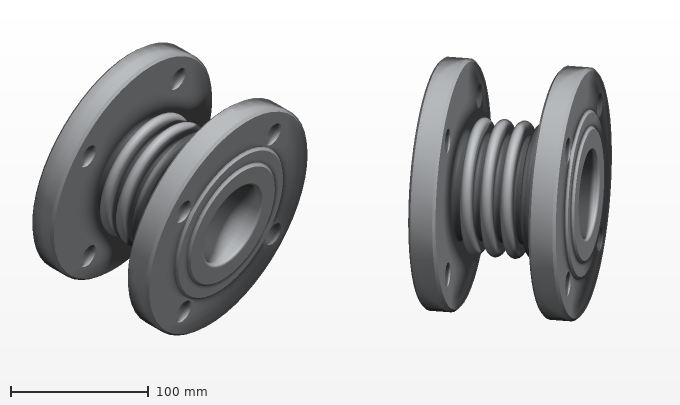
import cadquery as cq
import math

length = 118.0
step = 2.0

flange_radius = 92.5
flange_thickness = 20.4
flange_outer_face = length / 2 - 2 * step
flange_inner_face = flange_outer_face - flange_thickness
outer_raised_radius = 62.0
inner_raised_radius = 50.1

bolt_hole_diameter = 18.0
bolt_circle_diameter = 145.0
bolt_count = 4

bore_diameter = 65.0
pipe_radius = 76.0 / 2
neck_fillet = 3.7
ring_count = 4
ring_pitch = 15.0
ring_radius = 50.3
ring_width = 8.1
root_fillet = step


def disc(start, radius, thickness):
    """Cylinder around the X axis, running from x = start towards +X."""
    return cq.Workplane("YZ").workplane(offset=start).circle(radius).extrude(thickness)


def make_flange():
    """The +X flange with its two raised faces, drilled for the bolts."""
    flange = disc(flange_inner_face, flange_radius, flange_thickness).edges().chamfer(step)
    for level, radius in enumerate((outer_raised_radius, inner_raised_radius)):
        raised = (
            cq.Workplane("YZ")
            .workplane(offset=flange_outer_face + level * step)
            .circle(radius)
            .extrude(step, taper=45)
        )
        flange = flange.union(raised)
    bolt_holes = (
        cq.Workplane("YZ")
        .workplane(offset=flange_inner_face)
        .polarArray(bolt_circle_diameter / 2, 45, 360, bolt_count)
        .circle(bolt_hole_diameter / 2)
        .extrude(flange_thickness)
    )
    return flange.cut(bolt_holes)


def concave_corner(profile, start, end, radius, bend):
    """Add a quarter-circle arc; bend is the point where the two sharp edges would have met."""
    center = (start[0] + end[0] - bend[0], start[1] + end[1] - bend[1])
    reach = radius / math.sqrt(2)
    middle = (
        center[0] + math.copysign(reach, bend[0] - center[0]),
        center[1] + math.copysign(reach, bend[1] - center[1]),
    )
    return profile.lineTo(*start).threePointArc(middle, end)


def make_bellows():
    """Solid pipe between the flanges, with round-topped rings, revolved around X."""
    left = -flange_inner_face
    right = flange_inner_face
    half_width = ring_width / 2
    shoulder = ring_radius - half_width
    neck_top = pipe_radius + neck_fillet
    root_top = pipe_radius + root_fillet

    profile = cq.Workplane("XY").moveTo(left, 0)
    profile = concave_corner(
        profile, (left, neck_top), (left + neck_fillet, pipe_radius), neck_fillet, (left, pipe_radius)
    )
    for index in range(ring_count):
        center = (index - (ring_count - 1) / 2) * ring_pitch
        near = center - half_width
        far = center + half_width
        profile = concave_corner(
            profile, (near - root_fillet, pipe_radius), (near, root_top), root_fillet, (near, pipe_radius)
        )
        profile = profile.lineTo(near, shoulder).threePointArc((center, ring_radius), (far, shoulder))
        profile = concave_corner(
            profile, (far, root_top), (far + root_fillet, pipe_radius), root_fillet, (far, pipe_radius)
        )
    profile = concave_corner(
        profile, (right - neck_fillet, pipe_radius), (right, neck_top), neck_fillet, (right, pipe_radius)
    )
    return profile.lineTo(right, 0).close().revolve(360, (0, 0, 0), (1, 0, 0))


flange = make_flange()
body = make_bellows().union(flange).union(flange.mirror("YZ"))

body = body.cut(disc(-length / 2, bore_diameter / 2, length))
mouth_reach = bore_diameter / 2 + step / 2
mouth_box = cq.selectors.BoxSelector(
    (-length, -mouth_reach, -mouth_reach), (length, mouth_reach, mouth_reach), boundingbox=True
)
result = body.edges(mouth_box).edges("%CIRCLE").fillet(step)